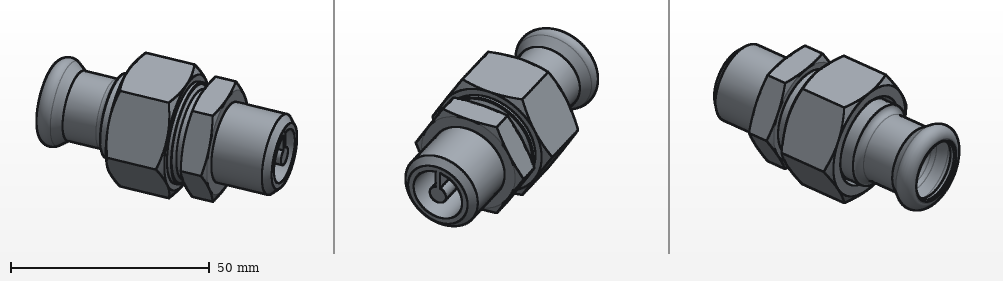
import cadquery as cq
import math


total_length = 63.5

tube_radius = 18.2 / 2
bead_center_radius = 17.5 / 2
bead_arc_radius = 2.8
bead_cone_angle = math.radians(36.5)
fillet_start = 16.05
collar_radius = 22 / 2
fillet_radius = collar_radius - tube_radius

mouth_radius = 8.3
lip_bore_radius = 15.8 / 2
pipe_bore_radius = 15.2 / 2
inner_bore_radius = 15 / 2
mouth_chamfer = mouth_radius - lip_bore_radius
wall_thickness = tube_radius - pipe_bore_radius
groove_arc_radius = bead_arc_radius - wall_thickness
groove_blend_radius = 2.2
pipe_stop = 20.0

nut_start = 21.1
nut_end = 37.0
nut_across_flats = 30.0
nut_chamfer_angle = 30.0
nut_lip_length = 4.0
nut_lip_hole_radius = 22.1 / 2
nut_mouth_radius = 24.12 / 2
nut_bore_radius = 26.44 / 2

flange_start = nut_start + nut_lip_length
flange_length = 3.0
seat_position = flange_start + flange_length

nut_thread_end = 38.1
neck_radius = 23.4 / 2
neck_start = 38.9
neck_cone_radius = 12.8
hex_start = 41.0
hex_end = 47.9
hex_across_flats = 27.0
hex_chamfer_angle = 18.0
pipe_thread_radius = 20.95 / 2
pipe_thread_chamfer = 1.9
adapter_bore_radius = 14 / 2
core_radius = 2.35
web_width = 1.3
adapter_length = total_length - seat_position


def revolve_about_x(profile):
    """Turn a closed XY profile a full turn about the X axis."""
    return profile.close().revolve(360, (0, 0, 0), (1, 0, 0))


def cylinder_along_x(start, end, radius):
    return cq.Workplane("YZ", origin=(start, 0, 0)).circle(radius).extrude(end - start)


def chamfered_hexagon(start, end, across_flats, chamfer_angle):
    """Hexagon bar along X, flats facing +Z and -Z, corners turned off by a cone at both ends."""
    flat_radius = across_flats / 2
    corner_radius = flat_radius / math.cos(math.pi / 6)
    chamfer_length = (corner_radius - flat_radius) * math.tan(math.radians(chamfer_angle))
    bar = (
        cq.Workplane("YZ", origin=(start, 0, 0))
        .polygon(6, 2 * corner_radius)
        .extrude(end - start)
    )
    envelope = revolve_about_x(
        cq.Workplane("XY")
        .moveTo(start, 0)
        .lineTo(start, flat_radius)
        .lineTo(start + chamfer_length, corner_radius)
        .lineTo(end - chamfer_length, corner_radius)
        .lineTo(end, flat_radius)
        .lineTo(end, 0)
    )
    return bar.intersect(envelope)


def make_tail():
    """Press-fit tube with a rolled bead, a collar through the nut and a retaining flange."""

    def on_bead(arc_radius, angle):
        """Point on an arc about the bead center, angle measured from the radial direction toward +X."""
        return (
            bead_arc_radius + arc_radius * math.sin(angle),
            bead_center_radius + arc_radius * math.cos(angle),
        )

    cone_slope = math.tan(bead_cone_angle)
    cone_start = on_bead(bead_arc_radius, bead_cone_angle)
    cone_end = cone_start[0] + (cone_start[1] - tube_radius) / cone_slope

    groove_cone_start = on_bead(groove_arc_radius, bead_cone_angle)
    groove_corner = groove_cone_start[0] + (groove_cone_start[1] - pipe_bore_radius) / cone_slope
    blend_end = groove_corner + groove_blend_radius * math.tan(bead_cone_angle / 2)

    def on_blend(angle):
        """Point on the blend from groove cone to pipe bore, at the given surface slope."""
        return (
            blend_end - groove_blend_radius * math.sin(angle),
            pipe_bore_radius + groove_blend_radius * (1 - math.cos(angle)),
        )

    fillet_diagonal = fillet_radius * math.sqrt(0.5)
    fillet_middle = (fillet_start + fillet_diagonal, collar_radius - fillet_diagonal)
    return revolve_about_x(
        cq.Workplane("XY")
        .moveTo(0, mouth_radius)
        .lineTo(0, bead_center_radius)
        .threePointArc(on_bead(bead_arc_radius, 0), cone_start)
        .lineTo(cone_end, tube_radius)
        .lineTo(fillet_start, tube_radius)
        .threePointArc(fillet_middle, (fillet_start + fillet_radius, collar_radius))
        .lineTo(flange_start, collar_radius)
        .lineTo(flange_start, nut_bore_radius)
        .lineTo(seat_position, nut_bore_radius)
        .lineTo(seat_position, inner_bore_radius)
        .lineTo(pipe_stop, inner_bore_radius)
        .lineTo(pipe_stop, pipe_bore_radius)
        .lineTo(blend_end, pipe_bore_radius)
        .threePointArc(on_blend(bead_cone_angle / 2), on_blend(bead_cone_angle))
        .lineTo(*groove_cone_start)
        .threePointArc(on_bead(groove_arc_radius, 0), (wall_thickness, bead_center_radius))
        .lineTo(wall_thickness, lip_bore_radius)
        .lineTo(mouth_chamfer, lip_bore_radius)
    )


def make_nut():
    """Hexagon nut with a chamfered lip hole for the collar and a wide bore behind it."""
    mouth_depth = nut_mouth_radius - nut_lip_hole_radius
    bore = revolve_about_x(
        cq.Workplane("XY")
        .moveTo(nut_start, 0)
        .lineTo(nut_start, nut_mouth_radius)
        .lineTo(nut_start + mouth_depth, nut_lip_hole_radius)
        .lineTo(flange_start, nut_lip_hole_radius)
        .lineTo(flange_start, nut_bore_radius)
        .lineTo(nut_end, nut_bore_radius)
        .lineTo(nut_end, 0)
    )
    return chamfered_hexagon(nut_start, nut_end, nut_across_flats, nut_chamfer_angle).cut(bore)


def make_adapter():
    """Threaded end with a wrench hexagon; its bore keeps a central core hung on one web."""
    turned = revolve_about_x(
        cq.Workplane("XY")
        .moveTo(seat_position, 0)
        .lineTo(seat_position, nut_bore_radius)
        .lineTo(nut_thread_end, nut_bore_radius)
        .lineTo(nut_thread_end, neck_cone_radius)
        .lineTo(neck_start, neck_radius)
        .lineTo(hex_start, neck_radius)
        .lineTo(hex_start, pipe_thread_radius)
        .lineTo(total_length - pipe_thread_chamfer, pipe_thread_radius)
        .lineTo(total_length, pipe_thread_radius - pipe_thread_chamfer)
        .lineTo(total_length, 0)
    )
    wrench_hexagon = chamfered_hexagon(hex_start, hex_end, hex_across_flats, hex_chamfer_angle)
    web = cq.Workplane("XY", origin=(seat_position, 0, 0)).box(
        adapter_length, web_width, adapter_bore_radius, centered=(False, True, False)
    )
    core = cylinder_along_x(seat_position, total_length, core_radius)
    bore = cylinder_along_x(seat_position, total_length, adapter_bore_radius)
    passage = bore.cut(core).cut(web)
    return turned.union(wrench_hexagon).cut(passage)


tail = make_tail()
nut = make_nut()
adapter = make_adapter()

result = cq.Compound.makeCompound([tail.val(), nut.val(), adapter.val()])